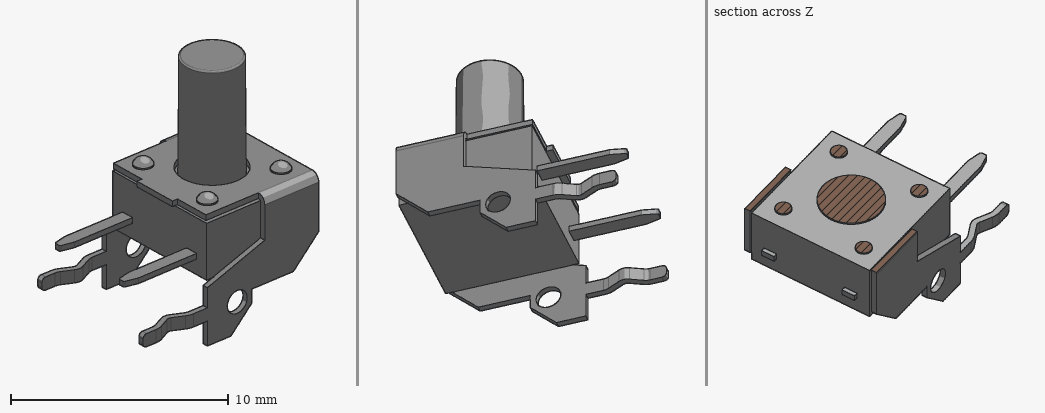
import cadquery as cq
import math


overall_height = 12.5
overall_length = 11.0
bracket_width = 7.4

housing_width = 6.6
housing_height = 3.0
back_y = 3.3
front_y = -3.2

button_top_z = 9.31
button_base_radius = 1.59
button_top_radius = 1.55
button_edge_fillet = 0.09

sheet = 0.3
bracket_top_z = 3.42
bracket_bottom_z = button_top_z - overall_height
bend_outer_radius = 0.45
cover_width = bracket_width - 2 * bend_outer_radius
cover_hole_radius = 1.75
tab_width = 2.5
side_front_y = -3.5

side_step_z = -1.18
slope_top_z = 1.11
slope_bottom_z = -0.11
back_chamfer = 1.55
foot_back_y = -0.79
foot_chamfer = 1.28
side_hole_y = -1.68
side_hole_z = -1.52
side_hole_radius = 0.6

leg_width = 0.7
leg_top_z = side_step_z
leg_end_y = -7.42
leg_corner_radius = 0.22
kink_angle = math.radians(26)
kink_center_y = -5.49
kink_half_length = 0.92
kink_bend_radius = 0.6
kink_peak_radius = 0.28

rivet_spacing = 4.5
rivet_shank_radius = 0.4
rivet_head_radius = 0.5
rivet_rim_height = 0.08
rivet_dome_height = 0.32

pin_spacing = rivet_spacing
pin_width = 0.7
pin_top_z = 1.12
pin_back_y = 3.51
pin_front_y = pin_back_y - overall_length
pin_taper_length = 0.75
pin_tip_width = 0.35
pin_tip_radius = 0.09


def make_housing():
    return (
        cq.Workplane("XY")
        .center(0, (back_y + front_y) / 2)
        .rect(housing_width, back_y - front_y)
        .extrude(housing_height)
    )


def make_button():
    return (
        cq.Workplane("XZ")
        .moveTo(0, housing_height)
        .lineTo(button_base_radius, housing_height)
        .lineTo(button_top_radius, button_top_z)
        .lineTo(0, button_top_z)
        .close()
        .revolve(360, (0, 0, 0), (0, 1, 0))
        .faces(">Z")
        .edges()
        .fillet(button_edge_fillet)
    )


def make_rounded_block(width, top_z, corner_radius):
    """Block over the full bracket depth with its two long top edges rounded."""
    return (
        cq.Workplane("XY", origin=(0, 0, bracket_bottom_z))
        .center(0, (back_y + side_front_y) / 2)
        .rect(width, back_y - side_front_y)
        .extrude(top_z - bracket_bottom_z)
        .edges("|Y and >Z")
        .fillet(corner_radius)
    )


def make_bracket_channel():
    """Inverted U of bent sheet: both side plates, joined by the back half of the top."""
    outer = make_rounded_block(bracket_width, bracket_top_z, bend_outer_radius)
    inner = make_rounded_block(
        bracket_width - 2 * sheet, bracket_top_z - sheet, bend_outer_radius - sheet
    )
    side_outline = (
        cq.Workplane("YZ")
        .moveTo(back_y, bracket_top_z)
        .lineTo(0, bracket_top_z)
        .lineTo(0, slope_top_z)
        .lineTo(side_front_y, slope_bottom_z)
        .lineTo(side_front_y, bracket_bottom_z)
        .lineTo(foot_back_y - foot_chamfer, bracket_bottom_z)
        .lineTo(foot_back_y, bracket_bottom_z + foot_chamfer)
        .lineTo(foot_back_y, side_step_z)
        .lineTo(back_y - back_chamfer, side_step_z)
        .lineTo(back_y, side_step_z + back_chamfer)
        .close()
        .extrude(bracket_width / 2, both=True)
    )
    side_hole = (
        cq.Workplane("YZ")
        .center(side_hole_y, side_hole_z)
        .circle(side_hole_radius)
        .extrude(bracket_width / 2, both=True)
    )
    return outer.cut(inner).intersect(side_outline).cut(side_hole)


def make_cover():
    """Flat top of the bracket with its front tab."""
    return (
        cq.Workplane("XY", origin=(0, 0, bracket_top_z - sheet))
        .moveTo(-cover_width / 2, back_y)
        .lineTo(-cover_width / 2, front_y)
        .lineTo(-tab_width / 2, front_y)
        .lineTo(-tab_width / 2, side_front_y)
        .lineTo(tab_width / 2, side_front_y)
        .lineTo(tab_width / 2, front_y)
        .lineTo(cover_width / 2, front_y)
        .lineTo(cover_width / 2, back_y)
        .close()
        .extrude(sheet)
    )


def make_leg():
    """Left snap-in leg: a flat strip with a V-shaped kink towards the switch."""
    outer_x = -bracket_width / 2
    inner_x = outer_x + sheet
    kink_depth = kink_half_length * math.tan(kink_angle)
    outer_peak_x = outer_x + kink_depth
    inner_peak_x = outer_peak_x + sheet / math.cos(kink_angle)
    inner_half_length = kink_half_length + sheet * math.tan(kink_angle / 2)

    leg = (
        cq.Workplane("XY", origin=(0, 0, leg_top_z - leg_width))
        .moveTo(outer_x, side_front_y)
        .lineTo(outer_x, kink_center_y + kink_half_length)
        .lineTo(outer_peak_x, kink_center_y)
        .lineTo(outer_x, kink_center_y - kink_half_length)
        .lineTo(outer_x, leg_end_y)
        .lineTo(inner_x, leg_end_y)
        .lineTo(inner_x, kink_center_y - inner_half_length)
        .lineTo(inner_peak_x, kink_center_y)
        .lineTo(inner_x, kink_center_y + inner_half_length)
        .lineTo(inner_x, side_front_y)
        .close()
        .extrude(leg_width)
    )

    def round_bend(body, x, y, radius):
        edge = cq.selectors.NearestToPointSelector((x, y, leg_top_z - leg_width / 2))
        return body.edges("|Z").edges(edge).fillet(radius)

    for side in (1, -1):
        bend_y = kink_center_y + side * kink_half_length
        inner_bend_y = kink_center_y + side * inner_half_length
        leg = round_bend(leg, outer_x, bend_y, kink_bend_radius + sheet)
        leg = round_bend(leg, inner_x, inner_bend_y, kink_bend_radius)
    leg = round_bend(leg, outer_peak_x, kink_center_y, kink_peak_radius)
    leg = round_bend(leg, inner_peak_x, kink_center_y, kink_peak_radius + sheet)
    return leg.faces("<Y").edges("|X").fillet(leg_corner_radius)


def make_bracket():
    leg = make_leg()
    cover_hole = (
        cq.Workplane("XY", origin=(0, 0, housing_height))
        .circle(cover_hole_radius)
        .extrude(bracket_top_z - housing_height)
    )
    return (
        make_bracket_channel()
        .union(make_cover())
        .union(leg)
        .union(leg.mirror("YZ"))
        .cut(cover_hole)
    )


def make_rivets():
    rim_z = bracket_top_z + rivet_rim_height
    top_z = rim_z + rivet_dome_height
    dome_radius = (rivet_head_radius**2 + rivet_dome_height**2) / (2 * rivet_dome_height)
    dome_center_z = top_z - dome_radius
    mid_angle = math.atan2(rivet_head_radius, rim_z - dome_center_z) / 2
    dome_middle = (
        dome_radius * math.sin(mid_angle),
        dome_center_z + dome_radius * math.cos(mid_angle),
    )
    rivet = (
        cq.Workplane("XZ")
        .moveTo(0, housing_height)
        .lineTo(rivet_shank_radius, housing_height)
        .lineTo(rivet_shank_radius, bracket_top_z)
        .lineTo(rivet_head_radius, bracket_top_z)
        .lineTo(rivet_head_radius, rim_z)
        .threePointArc(dome_middle, (0, top_z))
        .close()
        .revolve(360, (0, 0, 0), (0, 1, 0))
        .val()
    )
    return (
        cq.Workplane("XY")
        .rect(rivet_spacing, rivet_spacing, forConstruction=True)
        .vertices()
        .eachpoint(lambda place: rivet.moved(place))
    )


def make_pin(center_x):
    taper_y = pin_front_y + pin_taper_length
    return (
        cq.Workplane("XY", origin=(center_x, 0, pin_top_z - sheet))
        .moveTo(-pin_width / 2, pin_back_y)
        .lineTo(-pin_width / 2, taper_y)
        .lineTo(-pin_tip_width / 2, pin_front_y)
        .lineTo(pin_tip_width / 2, pin_front_y)
        .lineTo(pin_width / 2, taper_y)
        .lineTo(pin_width / 2, pin_back_y)
        .close()
        .extrude(sheet)
        .faces("<Y")
        .edges("|Z")
        .fillet(pin_tip_radius)
    )


result = make_housing().union(make_button()).union(make_rivets()).union(make_bracket())
for pin_x in (-pin_spacing / 2, pin_spacing / 2):
    result = result.union(make_pin(pin_x))